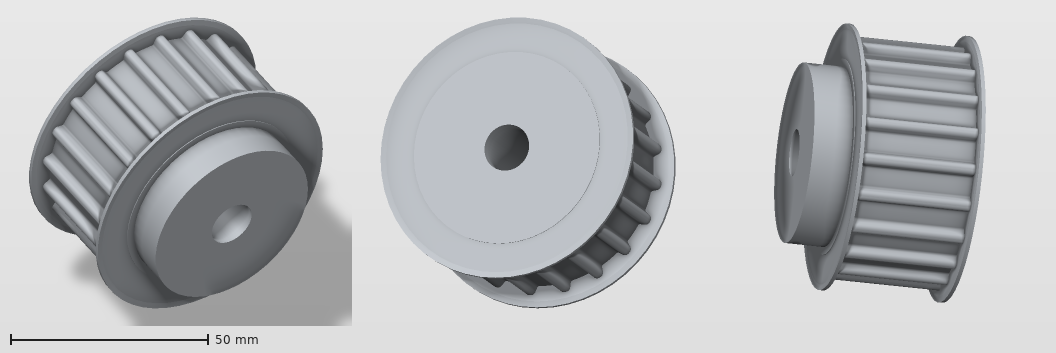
import cadquery as cq
import math

total_length = 42.0
pulley_width = 32.0
bore_diameter = 12.05
hub_diameter = 46.05
seat_diameter = 50.05

tooth_count = 20
tip_radius = 30.95
root_radius = 28.5
groove_floor_half_width = 2.65
flank_angle = 25.0
root_fillet = 0.6
tip_fillet = 1.2

flange_radius = 34.0
bend_radius = 32.5
flange_thickness = 1.0
rim_offset = 0.2

pitch_angle = 360.0 / tooth_count
flange_inner_face = rim_offset + flange_thickness
rim_width = pulley_width - 2 * flange_inner_face


def groove_cutter():
    """One belt groove at the -Y side, with a floor following the root circle."""
    floor_depth = math.sqrt(root_radius**2 - groove_floor_half_width**2)
    mouth_depth = flange_radius
    spread = (mouth_depth - floor_depth) * math.tan(math.radians(flank_angle))
    mouth_half_width = groove_floor_half_width + spread
    return (
        cq.Workplane("YZ", origin=(flange_inner_face, 0, 0))
        .moveTo(-mouth_depth, -mouth_half_width)
        .lineTo(-floor_depth, -groove_floor_half_width)
        .threePointArc((-root_radius, 0), (-floor_depth, groove_floor_half_width))
        .lineTo(-mouth_depth, mouth_half_width)
        .close()
        .extrude(rim_width)
    )


def distance_from_axis(edge):
    """Radial distance of an edge centre from the X axis."""
    center = edge.Center()
    return math.hypot(center.y, center.z)


def toothed_rim():
    """Cylinder with evenly spaced grooves, rounded at the tooth tips and roots."""
    rim = cq.Workplane("YZ", origin=(flange_inner_face, 0, 0)).circle(tip_radius).extrude(rim_width)
    groove = groove_cutter()
    for index in range(tooth_count):
        rim = rim.cut(groove.rotate((0, 0, 0), (1, 0, 0), index * pitch_angle))

    mid_radius = (tip_radius + root_radius) / 2
    rim = rim.edges("|X").filter(lambda edge: distance_from_axis(edge) < mid_radius).fillet(root_fillet)
    return rim.edges("|X").filter(lambda edge: distance_from_axis(edge) > mid_radius).fillet(tip_fillet)


def flange():
    """Dished disc at the X = 0 end, revolved from its half section."""
    section = [
        (rim_offset, 0),
        (rim_offset, bend_radius),
        (0, flange_radius),
        (flange_thickness, flange_radius),
        (flange_inner_face, bend_radius),
        (flange_inner_face, 0),
    ]
    return cq.Workplane("XY").polyline(section).close().revolve(360, (0, 0, 0), (1, 0, 0))


near_flange = flange()
far_flange = near_flange.mirror("YZ").translate((pulley_width, 0, 0))
flange_seats = cq.Workplane("YZ").circle(seat_diameter / 2).extrude(pulley_width)
hub = cq.Workplane("YZ").circle(hub_diameter / 2).extrude(total_length)
bore = cq.Workplane("YZ").circle(bore_diameter / 2).extrude(total_length)

pulley = toothed_rim().union(near_flange).union(far_flange)
result = pulley.union(flange_seats).union(hub).cut(bore)